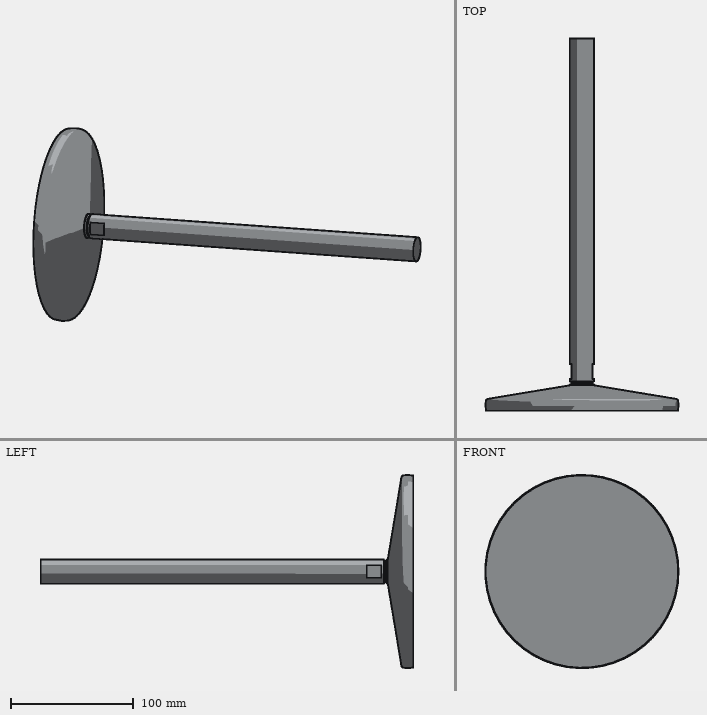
import cadquery as cq
import math

total_length = 304.0

foot_radius = 79.0
widest_height = 4.1
lower_taper = math.radians(8)
upper_taper = math.radians(5)
upper_taper_end = 7.6
rim_fillet = 2.5
cone_angle = math.radians(9.4)

spindle_radius = 10.0
groove_top = 24.2
groove_depth = 1.9
groove_floor_width = 0.6
collar_width = 0.4
flat_across = 17.3
flat_start = 26.0
flat_length = 12.0

upper_rim_radius = foot_radius - (upper_taper_end - widest_height) * math.tan(upper_taper)
fillet_center_radius = upper_rim_radius - rim_fillet * math.cos(upper_taper)
fillet_center_height = upper_taper_end - rim_fillet * math.sin(upper_taper)
fillet_end_angle = math.pi / 2 - cone_angle


def rim_fillet_point(angle):
    """Point of the rim fillet whose outward normal rises by the given angle."""
    return (
        fillet_center_radius + rim_fillet * math.cos(angle),
        fillet_center_height + rim_fillet * math.sin(angle),
    )


cone_start_radius, cone_start_height = rim_fillet_point(fillet_end_angle)
cone_rise = (cone_start_radius - spindle_radius) * math.tan(cone_angle)
seat_height = cone_start_height + cone_rise


def revolve_about_y(profile):
    return profile.close().revolve(360, (0, 0), (0, 1))


def make_foot():
    base_radius = foot_radius - widest_height * math.tan(lower_taper)
    fillet_middle = rim_fillet_point((upper_taper + fillet_end_angle) / 2)
    profile = (
        cq.Workplane("XY")
        .lineTo(base_radius, 0)
        .lineTo(foot_radius, widest_height)
        .lineTo(upper_rim_radius, upper_taper_end)
        .threePointArc(fillet_middle, (cone_start_radius, cone_start_height))
        .lineTo(spindle_radius, seat_height)
        .lineTo(0, seat_height)
    )
    return revolve_about_y(profile)


def make_spindle():
    groove_radius = spindle_radius - groove_depth
    groove_start = seat_height + collar_width
    groove_middle = (groove_start + groove_top) / 2
    profile = (
        cq.Workplane("XY")
        .moveTo(0, seat_height)
        .lineTo(spindle_radius, seat_height)
        .lineTo(spindle_radius, groove_start)
        .lineTo(groove_radius, groove_middle - groove_floor_width / 2)
        .lineTo(groove_radius, groove_middle + groove_floor_width / 2)
        .lineTo(spindle_radius, groove_top)
        .lineTo(spindle_radius, total_length)
        .lineTo(0, total_length)
    )
    spindle = revolve_about_y(profile)

    for side in (1, -1):
        cutter = cq.Workplane("XY").box(spindle_radius, flat_length, 2 * spindle_radius)
        cutter_x = side * (flat_across + spindle_radius) / 2
        spindle = spindle.cut(cutter.translate((cutter_x, flat_start + flat_length / 2, 0)))
    return spindle


foot = make_foot()
spindle = make_spindle()

result = cq.Compound.makeCompound([foot.val(), spindle.val()])